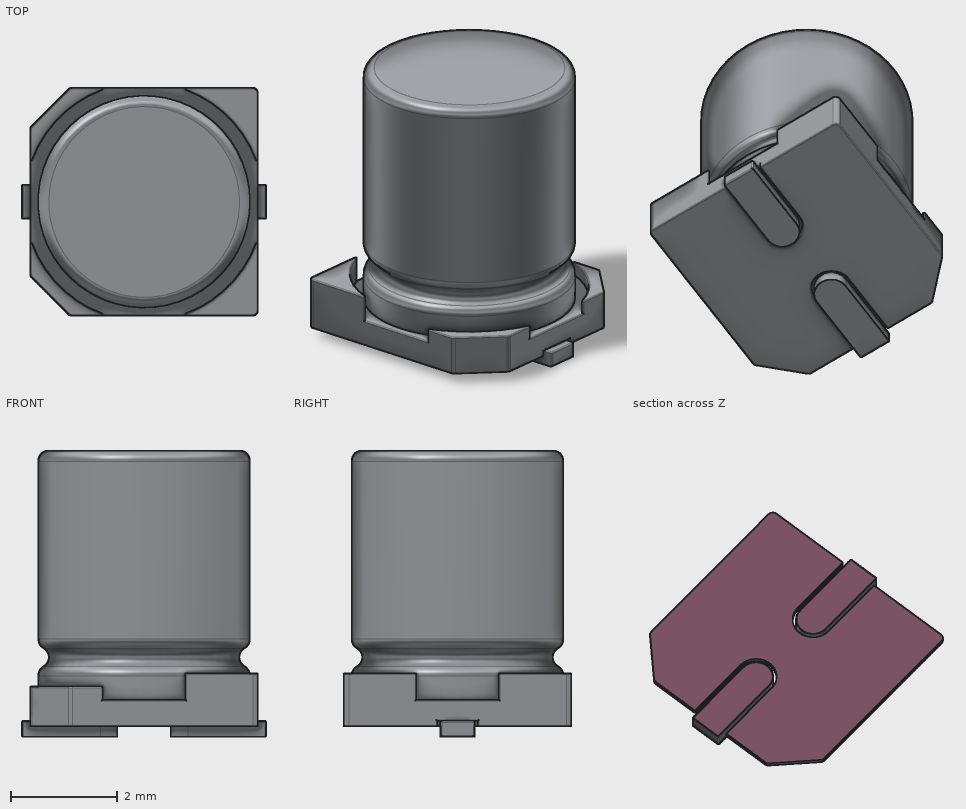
import cadquery as cq
import math

can_top = 5.4
can_radius = 2.0
can_top_fillet = 0.2
groove_radius = 0.2
groove_height = 1.5

base_width = 4.3
base_bottom = 0.2
seat_floor = 0.7
low_corner_top = 0.95
tall_corner_top = 1.2
corner_chamfer = 0.75
corner_fillet = 0.1
seat_radius = 2.25
edge_fillet = 0.02

terminal_reach = 2.3
terminal_inner_end = 0.5
terminal_width = 0.65
terminal_top = 0.3
terminal_fillet = 0.025
slot_clearance = 0.06


def make_can():
    """Revolve the can's half section about the Z axis."""
    turn = math.radians(60)
    arc_rise = groove_radius * math.sin(turn)
    arc_inset = groove_radius * (1 - math.cos(turn))
    mid_rise = groove_radius * math.sin(turn / 2)
    mid_inset = groove_radius * (1 - math.cos(turn / 2))

    blend_radius = can_radius - arc_inset
    blend_mid_radius = can_radius - mid_inset
    waist_radius = can_radius - groove_radius
    blend_mid_offset = 2 * arc_rise - mid_rise

    profile = (
        cq.Workplane("XZ")
        .moveTo(0, seat_floor)
        .lineTo(can_radius, seat_floor)
        .lineTo(can_radius, groove_height - 2 * arc_rise)
        .threePointArc(
            (blend_mid_radius, groove_height - blend_mid_offset),
            (blend_radius, groove_height - arc_rise),
        )
        .threePointArc(
            (waist_radius, groove_height),
            (blend_radius, groove_height + arc_rise),
        )
        .threePointArc(
            (blend_mid_radius, groove_height + blend_mid_offset),
            (can_radius, groove_height + 2 * arc_rise),
        )
        .lineTo(can_radius, can_top)
        .lineTo(0, can_top)
        .close()
    )
    return profile.revolve(360, (0, 0), (0, 1)).faces(">Z").edges().fillet(can_top_fillet)


def terminal_outline(half_width, bottom, top):
    """Bar along the -X axis with a full-round inner end, grown about the terminal's round centre."""
    round_centre = -terminal_inner_end - terminal_width / 2
    return (
        cq.Workplane("XY")
        .workplane(offset=bottom)
        .moveTo(-terminal_reach, -half_width)
        .lineTo(round_centre, -half_width)
        .threePointArc((round_centre + half_width, 0), (round_centre, half_width))
        .lineTo(-terminal_reach, half_width)
        .close()
        .extrude(top - bottom)
    )


def plate(top):
    """Square plate up to the given height, with two cut -X corners and rounded corners."""
    return (
        cq.Workplane("XY")
        .workplane(offset=base_bottom)
        .rect(base_width, base_width)
        .extrude(top - base_bottom)
        .edges("|Z and <X")
        .chamfer(corner_chamfer)
        .edges("|Z")
        .fillet(corner_fillet)
    )


def make_base():
    """Plate with low -X corners and tall +X corners around a round seat, and a slot per terminal."""
    tall_side = (
        cq.Workplane("XY")
        .workplane(offset=base_bottom)
        .center(base_width / 4, 0)
        .rect(base_width / 2, base_width)
        .extrude(tall_corner_top - base_bottom)
    )
    seat = (
        cq.Workplane("XY")
        .workplane(offset=seat_floor)
        .circle(seat_radius)
        .extrude(tall_corner_top - seat_floor)
    )
    base = plate(low_corner_top).union(plate(tall_corner_top).intersect(tall_side)).cut(seat)
    slot = terminal_outline(terminal_width / 2 + slot_clearance, base_bottom, terminal_top)
    base = base.cut(slot).cut(slot.mirror("YZ"))

    inner_half = base_width / 2 - corner_fillet
    inner_edges = cq.selectors.BoxSelector(
        (-inner_half, -inner_half, base_bottom + edge_fillet),
        (inner_half, inner_half, seat_floor + edge_fillet),
    )
    return base.edges(-inner_edges).fillet(edge_fillet)


def make_terminal():
    """Flat -X terminal with its top rim and the edges of its outer end rounded."""
    bar = terminal_outline(terminal_width / 2, 0, terminal_top)
    return bar.faces("<X or >Z").edges().fillet(terminal_fillet)


terminal = make_terminal()
result = make_base().union(make_can()).union(terminal).union(terminal.mirror("YZ"))